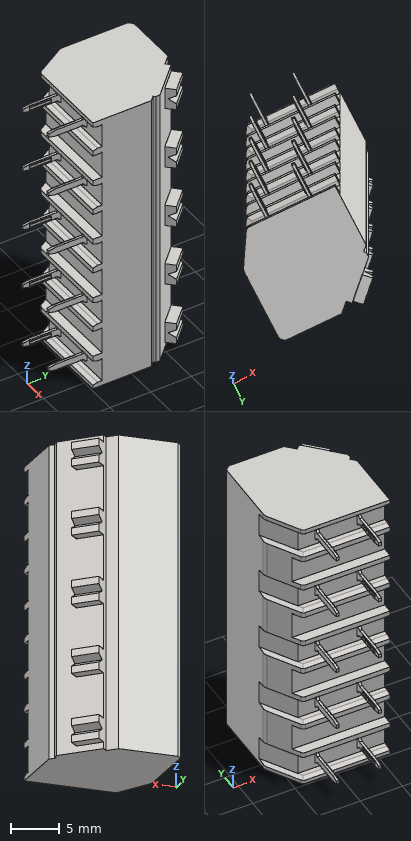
import cadquery as cq
import math

height = 34.68
width = 12.7
depth = 12.83
pole_count = 5
pole_pitch = 7.63
first_pole_z = 2.05
pole_levels = [first_pole_z + i * pole_pitch for i in range(pole_count)]
gap_levels = [z + pole_pitch / 2 for z in pole_levels[:-1]]

back_chamfer = 0.5
slant_x = 2.4
slant_y = 4.02
slant_side_radius = 1.05
slant_front_radius = 0.52
bevel = 5.62
pad_height = 0.65
pad_start = 1.42
pad_end_x = 12.35
pad_foot_x = 12.15

recess_depth = 1.15
recess_slant_rise = 5.15
recess_x = 2.4
recess_width = 3.15
gap_width = 3.23
rib_bevel_height = 0.17
rib_bevel_depth = 0.6

pin_columns = ((4.58, 1), (9.57, -1))
pin_thickness = 0.3
pin_half_width = 0.38
pin_length = 3.55
pin_taper_length = 0.8
pin_tip_half_width = 0.2
pin_root = 0.15
pin_foot_half_width = 0.73
bead_height = 0.1
bead_width = 0.4
bead_start_y = -0.1
bead_end_y = pin_taper_length - pin_length

button_height = 1.25
button_length = 3.1
button_width = 2.65
groove_half_width = 0.52
groove_depth = 0.85

overlap = 0.35
diagonal = math.sqrt(0.5)

bevel_start = (width - bevel, depth)
bevel_end = (width, depth - bevel)
pad_base = (bevel_start[0] + pad_start * diagonal, bevel_start[1] - pad_start * diagonal)
pad_top = (pad_base[0] + pad_height * diagonal, pad_base[1] + pad_height * diagonal)
pad_foot = (pad_foot_x, sum(bevel_start) - pad_foot_x)
pad_edge_top = (pad_end_x, sum(pad_top) - pad_end_x)
pad_edge_bottom = (pad_end_x, pad_foot[1] + pad_end_x - pad_foot_x)

rear_outline = [
    (0, depth - back_chamfer),
    (back_chamfer, depth),
    bevel_start,
    pad_base,
    pad_top,
    pad_edge_top,
    pad_edge_bottom,
    pad_foot,
    bevel_end,
]


def make_housing():
    outline = [(slant_x, 0), (0, slant_y)] + rear_outline + [(width, 0)]
    body = cq.Workplane("XY").polyline(outline).close().extrude(height)
    body = body.edges(cq.NearestToPointSelector((0, slant_y, height / 2))).fillet(slant_side_radius)
    return body.edges(cq.NearestToPointSelector((slant_x, 0, height / 2))).fillet(slant_front_radius)


def make_core():
    """Solid behind the recess floors, running the full height."""
    outline = [(recess_x, recess_depth), (0, recess_slant_rise)] + rear_outline + [(width, recess_depth)]
    return cq.Workplane("XY").polyline(outline).close().extrude(height)


def recess_section(plane, floor):
    """Recess profile on a plane: flared at the mouth, then straight to the given floor depth."""
    mouth = recess_width / 2
    throat = mouth - rib_bevel_height
    flare = rib_bevel_height / rib_bevel_depth
    outer = mouth + overlap * flare
    profile = [
        (-overlap, -outer),
        (rib_bevel_depth, -throat),
        (floor, -throat),
        (floor, throat),
        (rib_bevel_depth, throat),
        (-overlap, outer),
    ]
    return cq.Workplane(plane).polyline(profile).close()


def recess_cutter(z):
    """Flared slot along the front edge and along the slanted corner."""
    front_plane = cq.Plane(origin=(0, 0, z), xDir=(0, 1, 0), normal=(1, 0, 0))
    front = recess_section(front_plane, recess_depth).extrude(width + overlap)
    slant_plane = cq.Plane(
        origin=(slant_x / 2, slant_y / 2, z),
        xDir=(slant_y, slant_x, 0),
        normal=(slant_x, -slant_y, 0),
    )
    slant_reach = math.hypot(slant_x, slant_y)
    slant = recess_section(slant_plane, recess_depth).extrude(slant_reach, both=True)
    return front.union(slant)


def gap_cutter(z):
    return cq.Workplane("XY").box(
        width + overlap, recess_depth + overlap, gap_width, centered=(False, False, True)
    ).translate((0, -overlap, z))


def make_pin(x, bead_side, z):
    foot_y = recess_depth - pin_root
    shank_y = foot_y - (pin_foot_half_width - pin_half_width)
    side = [
        (recess_depth + overlap, pin_foot_half_width),
        (foot_y, pin_foot_half_width),
        (shank_y, pin_half_width),
        (bead_end_y, pin_half_width),
        (-pin_length, pin_tip_half_width),
    ]
    mirrored = [(y, -half) for y, half in reversed(side)]
    blade = cq.Workplane("YZ").polyline(side + mirrored).close().extrude(pin_thickness / 2, both=True)
    bead = cq.Workplane("XY").box(
        pin_thickness / 2 + bead_height,
        bead_start_y - bead_end_y,
        bead_width,
        centered=(False, False, True),
    ).translate((0, bead_end_y, 0))
    if bead_side < 0:
        bead = bead.mirror("YZ")
    return blade.union(bead).translate((x, 0, z))


def make_button(z):
    """Push button standing on the pad, with a V groove along its outer face."""
    plane = cq.Plane(origin=(pad_top[0], pad_top[1], z), xDir=(0, 0, -1), normal=(1, -1, 0))
    half = button_width / 2
    profile = [
        (-half, -overlap),
        (-half, button_height),
        (-groove_half_width, button_height),
        (0, button_height - groove_depth),
        (groove_half_width, button_height),
        (half, button_height),
        (half, -overlap),
    ]
    return cq.Workplane(plane).polyline(profile).close().extrude(button_length)


core = make_core()
result = make_housing()
for level in pole_levels:
    result = result.cut(recess_cutter(level).cut(core))
for level in gap_levels:
    result = result.cut(gap_cutter(level))
for level in pole_levels:
    result = result.union(make_button(level))
    for column_x, bead_direction in pin_columns:
        result = result.union(make_pin(column_x, bead_direction, level))